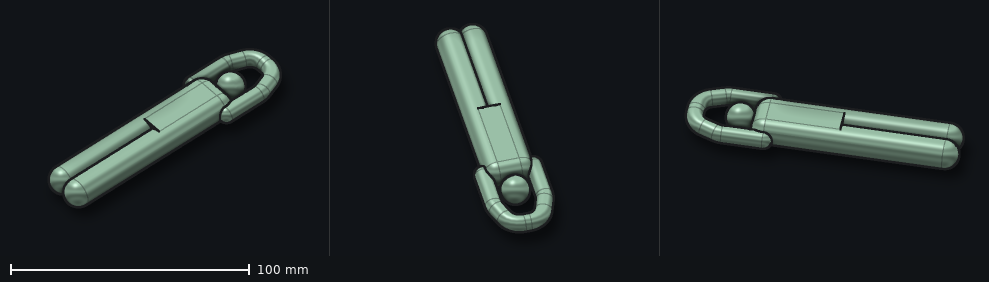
import cadquery as cq
import math

body_radius = 6.35
leg_length = 76.2
leg_offset = 4.7625
torso_length = 31.75
head_center_y = 11.6

overall_width = 29.59
overall_length = 117.23
arm_radius = 3.81
bend_radius = 7.62
hands_length = 2.54
arm_offset = overall_width / 2 - arm_radius
arm_top_y = overall_length - leg_length - body_radius - arm_radius

forearm_run = arm_offset - hands_length / 2 - bend_radius
forearm_lean = math.radians(20)
forearm_rise = forearm_run / math.tan(forearm_lean)
elbow_y = arm_top_y - bend_radius - forearm_rise


def ball(x, y, radius):
    return cq.Workplane("XY").sphere(radius).translate((x, y, 0))


def make_leg(side):
    """Bar from shoulder to foot with hemispherical ends, turned about its own axis."""
    diagonal = body_radius * math.sqrt(0.5)
    foot_y = -leg_length
    half_profile = (
        cq.Workplane("XY")
        .moveTo(0, body_radius)
        .threePointArc((diagonal, diagonal), (body_radius, 0))
        .lineTo(body_radius, foot_y)
        .threePointArc((diagonal, foot_y - diagonal), (0, foot_y - body_radius))
        .close()
    )
    leg = half_profile.revolve(360, (0, 0, 0), (0, 1, 0))
    return leg.translate((side * leg_offset, 0, 0))


def make_torso():
    """Flat slab between the leg axes, with a half-round top across the shoulders."""
    slab = cq.Workplane("XY").box(2 * leg_offset, torso_length, 2 * body_radius)
    slab = slab.translate((0, -torso_length / 2, 0))
    shoulders = cq.Workplane("YZ").circle(body_radius).extrude(leg_offset, both=True)
    return slab.union(shoulders)


def bend_point(center, angle):
    """Point on a bend centreline at an angle above the +X direction."""
    return (
        center[0] + bend_radius * math.cos(angle),
        center[1] + bend_radius * math.sin(angle),
    )


def mirrored(point):
    return (-point[0], point[1])


def make_arms():
    """Tube swept up one arm, across the hands and down the other, with ball ends."""
    elbow_center = (arm_offset - bend_radius, elbow_y)
    wrist_center = (hands_length / 2, arm_top_y - bend_radius)
    wrist_middle = (forearm_lean + math.pi / 2) / 2

    shoulder = (arm_offset, 0)
    elbow_start = (arm_offset, elbow_y)
    elbow_mid = bend_point(elbow_center, forearm_lean / 2)
    elbow_end = bend_point(elbow_center, forearm_lean)
    wrist_start = bend_point(wrist_center, forearm_lean)
    wrist_mid = bend_point(wrist_center, wrist_middle)
    wrist_end = (hands_length / 2, arm_top_y)

    path = (
        cq.Workplane("XY")
        .moveTo(*shoulder)
        .lineTo(*elbow_start)
        .threePointArc(elbow_mid, elbow_end)
        .lineTo(*wrist_start)
        .threePointArc(wrist_mid, wrist_end)
        .lineTo(*mirrored(wrist_end))
        .threePointArc(mirrored(wrist_mid), mirrored(wrist_start))
        .lineTo(*mirrored(elbow_end))
        .threePointArc(mirrored(elbow_mid), mirrored(elbow_start))
        .lineTo(*mirrored(shoulder))
    )
    tube = cq.Workplane("XZ").center(arm_offset, 0).circle(arm_radius).sweep(path)
    for side in (-1, 1):
        tube = tube.union(ball(side * arm_offset, 0, arm_radius))
    return tube


result = (
    make_leg(-1)
    .union(make_leg(1))
    .union(make_torso())
    .union(ball(0, head_center_y, body_radius))
    .union(make_arms())
)